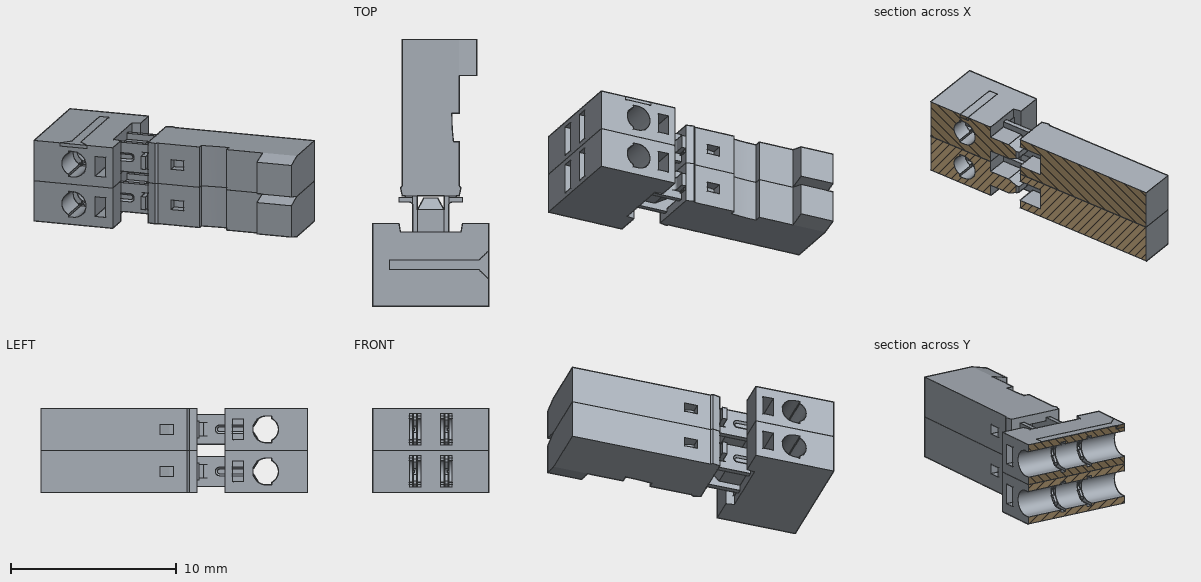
import cadquery as cq
import math


pole_count = 2
pitch = 2.54
mid_height = pitch / 2

block_width = 7.0
block_length = 5.0
notch_depth = 0.51
notch_floor_half = 1.82
notch_mouth_half = 1.91

total_length = 16.1
plug_half_width = 1.72
plug_start = 6.67
collar_overhang = 0.11
collar_ridge_y = 7.14
collar_end_y = 7.28

key_width = 1.07
key_length = 2.18
key_taper = 0.28
latch_start = 9.93
latch_end = 11.64
latch_shallow = 0.34
latch_deep = 0.44
latch_mid_depth = 0.42

blade_inner = 0.80
blade_thickness = 0.29
blade_outer = blade_inner + blade_thickness
blade_center = blade_inner + blade_thickness / 2
blade_height = 1.82
stop_half_width = 1.92
stop_thickness = 0.29
stop_height = 0.81
stop_start = 6.28
stop_bend = 0.20
bead_depth = 0.12
bead_width = 0.52
bead_slope = 0.12
bead_tip_y = 5.57

tongue_height = 1.06
tongue_straight_end = 5.83
tongue_tip_y = 6.55
tongue_tip_half = 0.42
tongue_tip_height = 0.40

hole_y = 2.5
hole_radius = 0.80
hole_front_radius = 0.73
hole_step_y = 2.18
slot_width = 0.70
slot_height = 1.90
slot_floor_y = 2.12
narrow_slot_end_y = 3.5
fork_tip_y = 3.0
fork_tip_inner = 0.57
fork_tip_outer = 0.75
fork_root_y = 3.25
fork_root_radius = 0.19
fork_back_y = 3.7
fork_bevel = 0.06
fork_half_height = slot_height / 2 + fork_bevel

block_window_y = (3.88, 4.55)
block_window_height = 1.24
plug_window_y = (8.11, 8.92)
plug_window_height = 0.60
plug_window_shallow = 0.58
plug_window_deep = 0.70
plug_window_ramp_y = (8.31, 8.81)

mouth_height = 1.38
mouth_depth = 1.5
pad_half_width = 1.54
pad_height = 1.02
pad_thickness = 0.10

strip_start_x = -2.5
strip_flare_x = 2.91
strip_half = 0.29
strip_flare_half = 0.86
strip_thickness = 0.2


def box(x_range, y_range, height):
    """Box centred on the pole's mid height."""
    (x0, x1), (y0, y1) = x_range, y_range
    return (cq.Workplane("XY")
            .box(x1 - x0, y1 - y0, height)
            .translate(((x0 + x1) / 2, (y0 + y1) / 2, mid_height)))


def side_profile(x):
    """YZ plane at the given X, origin at the pole's mid height."""
    return cq.Workplane("YZ", origin=(x, 0, mid_height))


def both_sides(shape):
    return shape.union(shape.mirror("YZ"))


def wire_block():
    half = block_width / 2
    floor_y = block_length - notch_depth
    return (cq.Workplane("XY")
            .polyline([(-half, 0), (half, 0), (half, block_length),
                       (notch_mouth_half, block_length), (notch_floor_half, floor_y),
                       (-notch_floor_half, floor_y), (-notch_mouth_half, block_length),
                       (-half, block_length)])
            .close().extrude(pitch))


def plug_block():
    side = plug_half_width
    ridge = side + collar_overhang
    return (cq.Workplane("XY")
            .moveTo(-side, plug_start)
            .lineTo(side, plug_start)
            .lineTo(ridge, collar_ridge_y)
            .lineTo(side, collar_end_y)
            .lineTo(side, latch_start)
            .lineTo(side - latch_shallow, latch_start)
            .threePointArc((side - latch_mid_depth, (latch_start + latch_end) / 2),
                           (side - latch_deep, latch_end))
            .lineTo(side, latch_end)
            .lineTo(side, total_length)
            .lineTo(-side, total_length)
            .lineTo(-side, collar_end_y)
            .lineTo(-ridge, collar_ridge_y)
            .close().extrude(pitch))


def polarising_key():
    """Key with both faces tapering towards its outer edge."""
    outer = plug_half_width + key_width
    return (cq.Workplane("XZ", origin=(0, total_length, 0))
            .polyline([(plug_half_width, 0), (outer, key_taper),
                       (outer, pitch - key_taper), (plug_half_width, pitch)])
            .close().extrude(key_length))


def contact_blades():
    """Pair of flat blades, each with a bent stop lug and a pressed bead outside."""
    blade = box((blade_inner, blade_outer), (block_length - notch_depth, plug_start), blade_height)
    stop_end = stop_start + stop_thickness
    stop = (cq.Workplane("XY", origin=(0, 0, mid_height))
            .moveTo(blade_outer, stop_start - stop_bend)
            .radiusArc((blade_outer + stop_bend, stop_start), stop_bend)
            .lineTo(stop_half_width, stop_start)
            .lineTo(stop_half_width, stop_end)
            .lineTo(blade_outer, stop_end)
            .close().extrude(stop_height / 2, both=True))
    return both_sides(blade.union(stop))


def blade_beads():
    """Round-ended grooves with sloping sides, pressed into the outer blade faces."""
    start_y = block_window_y[0]
    length = bead_tip_y - start_y + bead_width
    bead = (cq.Workplane("YZ", origin=(blade_outer, bead_tip_y - length / 2, mid_height))
            .slot2D(length, bead_width)
            .workplane(offset=-bead_depth)
            .slot2D(length - 2 * bead_slope, bead_width - 2 * bead_slope)
            .loft(ruled=True))
    return both_sides(bead)


def guide_tongue():
    """Flat tongue ending in a tapered tip."""
    root = box((-blade_inner, blade_inner),
               (block_length - notch_depth, tongue_straight_end), tongue_height)
    tip = (cq.Workplane("XZ", origin=(0, tongue_straight_end, mid_height))
           .rect(2 * blade_inner, tongue_height)
           .workplane(offset=tongue_straight_end - tongue_tip_y)
           .rect(2 * tongue_tip_half, tongue_tip_height)
           .loft(ruled=True))
    return root.union(tip)


def wire_hole():
    """Cross hole: full radius behind the step, smaller radius in front of it."""
    step_half = math.sqrt(hole_front_radius ** 2 - (hole_y - hole_step_y) ** 2)
    return (side_profile(-block_width / 2)
            .moveTo(hole_step_y, hole_radius)
            .lineTo(hole_y, hole_radius)
            .threePointArc((hole_y + hole_radius, 0), (hole_y, -hole_radius))
            .lineTo(hole_step_y, -hole_radius)
            .lineTo(hole_step_y, -step_half)
            .threePointArc((hole_y - hole_front_radius, 0), (hole_step_y, step_half))
            .close().extrude(block_width))


def entry_slots():
    """Wide slot up to the wire hole, then a blade-wide slot behind it."""
    def centred(width):
        return blade_center - width / 2, blade_center + width / 2

    wide = box(centred(slot_width), (0, slot_floor_y), slot_height)
    narrow = box(centred(blade_thickness), (0, narrow_slot_end_y), slot_height)
    return both_sides(wide.union(narrow))


def contact_forks():
    """Two-pronged blade ends with bevelled edges, open towards the wire hole."""
    shoulder_y = fork_tip_y + fork_half_height - fork_tip_outer
    fork = (side_profile(blade_inner)
            .moveTo(fork_back_y, fork_half_height)
            .lineTo(shoulder_y, fork_half_height)
            .lineTo(fork_tip_y, fork_tip_outer)
            .lineTo(fork_tip_y, fork_tip_inner)
            .lineTo(fork_root_y, fork_root_radius)
            .threePointArc((fork_root_y + fork_root_radius, 0), (fork_root_y, -fork_root_radius))
            .lineTo(fork_tip_y, -fork_tip_inner)
            .lineTo(fork_tip_y, -fork_tip_outer)
            .lineTo(shoulder_y, -fork_half_height)
            .lineTo(fork_back_y, -fork_half_height)
            .close().extrude(blade_thickness))
    fork = fork.faces("<X or >X").chamfer(fork_bevel)
    return both_sides(fork)


def block_windows():
    return both_sides(box((blade_outer, block_width / 2), block_window_y, block_window_height))


def plug_windows():
    """Side windows whose floor ramps down to a deeper level at the rear."""
    y0, y1 = plug_window_y
    ramp_start, ramp_end = plug_window_ramp_y
    face = plug_half_width
    window = (cq.Workplane("XY", origin=(0, 0, mid_height))
              .polyline([(face, y0), (face, y1), (face - plug_window_deep, y1),
                         (face - plug_window_deep, ramp_end), (face - plug_window_shallow, ramp_start),
                         (face - plug_window_shallow, y0)])
              .close().extrude(plug_window_height / 2, both=True))
    return both_sides(window)


def plug_mouth():
    return box((-blade_inner, blade_inner), (plug_start, plug_start + mouth_depth), mouth_height)


def plug_pads():
    return both_sides(box((blade_outer, pad_half_width),
                          (plug_start - pad_thickness, plug_start), pad_height))


def build_pole():
    pole = wire_block().cut(wire_hole()).cut(entry_slots()).cut(block_windows())
    pole = pole.union(contact_forks())
    pole = pole.union(plug_block().cut(plug_mouth()).cut(plug_windows()))
    for part in (polarising_key(), contact_blades(), guide_tongue(), plug_pads()):
        pole = pole.union(part)
    return pole.cut(blade_beads())


def build_marker_strip():
    """Flush strip across the wire block, flaring towards the +X side."""
    edge = block_width / 2
    return (cq.Workplane("XY", origin=(0, hole_y, pole_count * pitch))
            .polyline([(strip_start_x, -strip_half), (strip_flare_x, -strip_half),
                       (edge, -strip_flare_half), (edge, strip_flare_half),
                       (strip_flare_x, strip_half), (strip_start_x, strip_half)])
            .close().extrude(-strip_thickness))


marker_strip = build_marker_strip()
pole_shape = build_pole()
poles = []
for layer in range(pole_count):
    pole = pole_shape.translate((0, 0, layer * pitch))
    poles.extend(pole.cut(marker_strip).solids().vals())

result = cq.Compound.makeCompound([*poles, marker_strip.val()])